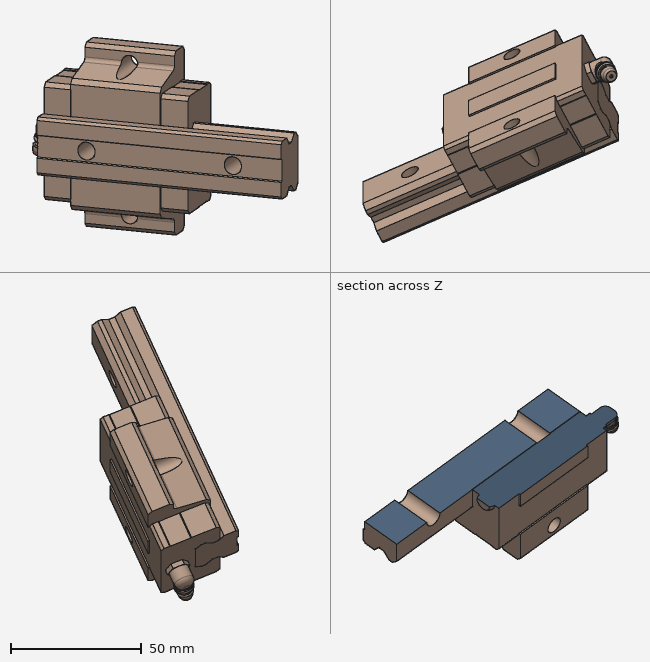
import cadquery as cq
import math


rail_length = 100.0
rail_half_width = 11.5
rail_height = 18.1
rail_base_chamfer = 1.1
rail_base_side_top = 6.1
rail_waist_half_width = 8.6
rail_waist_bottom = 8.5
rail_waist_top = 11.0
rail_head_side_top = 15.7
rail_top_half_width = 9.3
rail_groove_half_width = 4.6
rail_groove_floor_half_width = 4.2
rail_groove_depth = 0.7
rail_hole_diameter = 7.0
rail_hole_pitch = 60.0
rail_hole_start = (rail_length - rail_hole_pitch) / 2

carriage_length = 58.9
block_length = 36.7
block_start = (carriage_length - block_length) / 2
block_top = 33.0
block_bottom = 7.0
block_width = 73.0
block_half_width = block_width / 2
block_chamfer = 1.7
flange_underside = 22.3
flank_root_half_width = 29.6
flank_angle = 15.0
flank_bottom = 8.7
flank_fillet = 1.8
block_bottom_half_width = 24.0
block_groove_inner = 6.4
block_groove_outer = 21.5
block_groove_depth = 0.7
bolt_hole_diameter = 6.7
bolt_hole_offset = 30.0

cap_length = block_start
cap_top = block_top - block_groove_depth
cap_bottom = 7.7
cap_half_width = 23.3
cap_top_chamfer = 1.2
cap_bottom_chamfer = 1.7
cap_recess_depth = 0.2
cap_recess_slope = 0.3
cap_recess_bottom = 19.6
cap_recess_top = 28.8

nipple_height = 25.9
nipple_diameter = 8.0
hex_length = 2.0
hex_across_flats = 8.1
hex_corner_diameter = hex_across_flats / math.cos(math.pi / 6)
elbow_length = 9.7
elbow_fillet = 2.8
spout_offset = 5.2
spout_angle = 22.2
stem_radius = 3.6
collar_radius = 3.9
collar_chamfer = 0.3
collar_start = 3.7
collar_end = 5.4
collar_lip_radius = 3.3
collar_lip = 5.9
neck_diameter = 5.5
neck_radius = neck_diameter / 2
neck_end = 7.4
head_diameter = 6.6
head_radius = head_diameter / 2
head_widest = 7.8
head_shoulder = 9.7
head_shoulder_radius = 2.8
tip_radius = 2.1
tip_end = 11.0
tip_hole_diameter = 1.3
tip_hole_depth = 1.1
plug_length = 2.0
plug_base_radius = 4.1
plug_end_radius = 3.3


def extrude_profile(half_profile, start, length):
    """Extrude along X the outline made of (z, y) points on the +Z half and their mirror images."""
    mirrored = [(-z, y) for z, y in reversed(half_profile)]
    plane = cq.Plane(origin=(start, 0, 0), xDir=(0, 0, -1), normal=(1, 0, 0))
    return cq.Workplane(plane).polyline(half_profile + mirrored).close().extrude(length)


def box_between(x_range, y_range, z_range):
    """Box spanning the given ranges."""
    size = [high - low for low, high in (x_range, y_range, z_range)]
    corner = (x_range[0], y_range[0], z_range[0])
    return cq.Workplane("XY").box(*size, centered=False).translate(corner)


def drill_along_y(diameter, x, z):
    """Cylinder along Y, long enough to pass through the whole guide."""
    return cq.Workplane("XZ", origin=(x, 0, z)).circle(diameter / 2).extrude(-block_top)


def make_rail_bar():
    """Rail section without the base groove and the holes; it is also the carriage channel."""
    return extrude_profile(
        [
            (rail_half_width - rail_base_chamfer, 0),
            (rail_half_width, rail_base_chamfer),
            (rail_half_width, rail_base_side_top),
            (rail_waist_half_width, rail_waist_bottom),
            (rail_waist_half_width, rail_waist_top),
            (rail_half_width, rail_waist_top + rail_half_width - rail_waist_half_width),
            (rail_half_width, rail_head_side_top),
            (rail_top_half_width, rail_height),
        ],
        0,
        rail_length,
    )


def make_rail():
    """Rail with a shallow groove along its base and mounting holes through it."""
    groove = extrude_profile(
        [(rail_groove_half_width, 0), (rail_groove_floor_half_width, rail_groove_depth)],
        0,
        rail_length,
    )
    rail = make_rail_bar().cut(groove)
    for x in (rail_hole_start, rail_hole_start + rail_hole_pitch):
        rail = rail.cut(drill_along_y(rail_hole_diameter, x, 0))
    return rail


def make_block():
    """Flanged block with sloped flanks, grooves along its top and a bolt hole in each flange."""
    flank_drop = flange_underside - flank_bottom
    flank_bottom_half_width = flank_root_half_width - flank_drop * math.tan(math.radians(flank_angle))
    block = extrude_profile(
        [
            (block_bottom_half_width, block_bottom),
            (flank_bottom_half_width, flank_bottom),
            (flank_root_half_width, flange_underside),
            (block_half_width - block_chamfer, flange_underside),
            (block_half_width, flange_underside + block_chamfer),
            (block_half_width, block_top - block_chamfer),
            (block_half_width - block_chamfer, block_top),
        ],
        block_start,
        block_length,
    )
    block_middle = block_start + block_length / 2
    for side in (-1, 1):
        root = (block_middle, flange_underside, side * flank_root_half_width)
        block = block.edges(cq.selectors.NearestToPointSelector(root)).fillet(flank_fillet)
    for side in (-1, 1):
        groove = box_between(
            (block_start, block_start + block_length),
            (block_top - block_groove_depth, block_top),
            sorted((side * block_groove_inner, side * block_groove_outer)),
        )
        bolt_hole = drill_along_y(bolt_hole_diameter, block_middle, side * bolt_hole_offset)
        block = block.cut(groove).cut(bolt_hole)
    return block


def make_end_cap(start):
    """End cap with chamfered corners and a shallow recess along each side."""
    recess_half_width = cap_half_width - cap_recess_depth
    return extrude_profile(
        [
            (cap_half_width - cap_bottom_chamfer, cap_bottom),
            (cap_half_width, cap_bottom + cap_bottom_chamfer),
            (cap_half_width, cap_recess_bottom),
            (recess_half_width, cap_recess_bottom + cap_recess_slope),
            (recess_half_width, cap_recess_top - cap_recess_slope),
            (cap_half_width, cap_recess_top),
            (cap_half_width, cap_top - cap_top_chamfer),
            (cap_half_width - cap_top_chamfer, cap_top),
        ],
        start,
        cap_length,
    )


def make_elbow():
    """Hexagon and round elbow that stick out of the left end cap along -X."""
    face = cq.Workplane(cq.Plane(origin=(0, nipple_height, 0), xDir=(0, 1, 0), normal=(-1, 0, 0)))
    hexagon = face.polygon(6, hex_corner_diameter).extrude(hex_length)
    elbow = face.circle(nipple_diameter / 2).extrude(elbow_length).faces("<X").edges().fillet(elbow_fillet)
    return hexagon.union(elbow)


def make_spout():
    """Spout of the nipple: stem, collar, neck and tapered head, turned about a tilted axis."""
    tilt = math.radians(spout_angle)
    plane = cq.Plane(
        origin=(-spout_offset, nipple_height, 0),
        xDir=(math.cos(tilt), 0, -math.sin(tilt)),
        normal=(0, 1, 0),
    )
    half_section = [
        (0, 0),
        (stem_radius, 0),
        (stem_radius, collar_start),
        (collar_radius, collar_start + collar_chamfer),
        (collar_radius, collar_end),
        (collar_lip_radius, collar_lip),
        (neck_radius, collar_lip),
        (neck_radius, neck_end),
        (head_radius, head_widest),
        (head_shoulder_radius, head_shoulder),
        (tip_radius, tip_end),
        (tip_hole_diameter / 2, tip_end),
        (tip_hole_diameter / 2, tip_end - tip_hole_depth),
        (0, tip_end - tip_hole_depth),
    ]
    return cq.Workplane(plane).polyline(half_section).close().revolve(360, (0, 0), (0, 1))


def make_plug():
    """Round plug on the right end cap; its side starts square to the cap and curves inward."""
    drop = plug_base_radius - plug_end_radius
    crown_radius = (plug_length**2 + drop**2) / (2 * drop)
    return (
        cq.Workplane("XY", origin=(carriage_length, nipple_height, 0))
        .lineTo(0, plug_base_radius)
        .radiusArc((plug_length, plug_end_radius), crown_radius)
        .lineTo(plug_length, 0)
        .close()
        .revolve(360, (0, 0), (1, 0))
    )


def make_carriage():
    """Block, end caps, nipple and plug in one piece, with a channel that fits the rail."""
    carriage = make_block()
    for start in (0, carriage_length - cap_length):
        carriage = carriage.union(make_end_cap(start))
    carriage = carriage.cut(make_rail_bar())
    for fitting in (make_elbow(), make_spout(), make_plug()):
        carriage = carriage.union(fitting)
    return carriage


rail = make_rail()
carriage = make_carriage()

result = cq.Compound.makeCompound([rail.solids().val(), carriage.solids().val()])